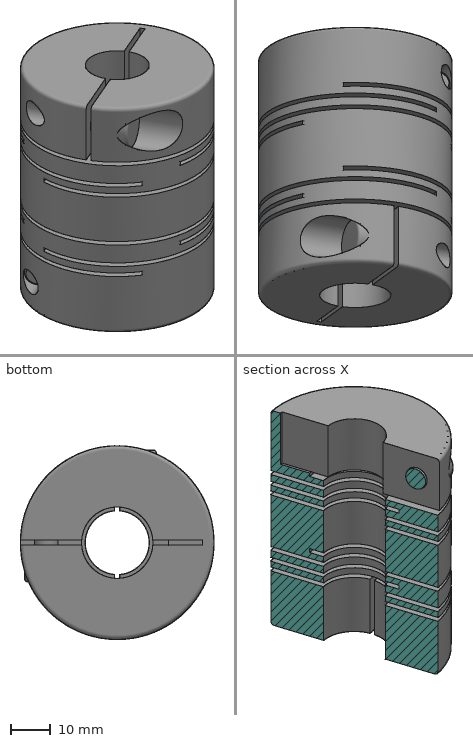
import cadquery as cq

height = 63.5
outer_radius = 24.5
rim_fillet = 1.0

top_bore_radius = 8.05
lower_bore_radius = 9.0

top_hub_height = 15.1
bottom_hub_height = 16.0
slit_width = 1.0
web_in_pair = 1.85
web_between_pairs = 2.15
slit_reach = 13.0

slot_width = 1.3
slot_reach = 21.5

screw_offset = 17.9
screw_depth = 7.4
shank_radius = 3.0
tip_position = 12.45
tip_chamfer = 0.6
head_radius = 5.5
head_end = 9.9
head_length = 6.0
head_edge = 0.75


def make_body():
    """Cylinder with rounded rims and the stepped bore."""
    body = cq.Workplane("XY").circle(outer_radius).extrude(height)
    body = body.edges("%CIRCLE").fillet(rim_fillet)
    narrow_bore = cq.Workplane("XY").circle(top_bore_radius).extrude(height)
    wide_bore = cq.Workplane("XY").circle(lower_bore_radius).extrude(height - top_hub_height)
    return body.cut(narrow_bore).cut(wide_bore)


def make_slit(floor_z, open_angle):
    """Slit open on the side at open_angle about Z (0 is +X) and closed on the opposite side."""
    return (
        cq.Workplane("XY", origin=(-slit_reach, 0, floor_z))
        .box(slit_reach + outer_radius, 2 * outer_radius, slit_width, centered=(False, True, False))
        .rotate((0, 0, 0), (0, 0, 1), open_angle)
    )


def cut_slit_group(body, bottom_z, open_angles):
    """Cut two opposed pairs of slits, working upward from bottom_z."""
    floor_z = bottom_z
    for open_angle, web_above in zip(open_angles, (web_in_pair, web_between_pairs, web_in_pair, 0)):
        body = body.cut(make_slit(floor_z, open_angle))
        floor_z += slit_width + web_above
    return body


def cylinder_along_x(radius, start_x, end_x):
    """Cylinder on the top hub's screw axis."""
    return (
        cq.Workplane("YZ", origin=(start_x, -screw_offset, height - screw_depth))
        .circle(radius)
        .extrude(end_x - start_x)
    )


def make_clamp_cuts(hub_height):
    """Slot, counterbore and tapped hole for the top hub, with the slot open toward -Y."""
    slot = cq.Workplane("XY", origin=(0, -outer_radius, height - hub_height)).box(
        slot_width, outer_radius + slot_reach, hub_height, centered=(True, False, False)
    )
    counterbore = cylinder_along_x(head_radius, head_end - head_edge, outer_radius)
    tapped_hole = cylinder_along_x(shank_radius, -outer_radius, tip_chamfer - tip_position)
    return slot.union(counterbore).union(tapped_hole)


def make_screw():
    """Cap screw of the top hub, its head toward +X."""
    head = cylinder_along_x(head_radius, head_end - head_length, head_end)
    head = head.faces(">X").edges().fillet(head_edge)
    shank = cylinder_along_x(shank_radius, -tip_position, head_end - head_length)
    shank = shank.faces("<X").edges().chamfer(tip_chamfer)
    return head.union(shank)


def move_to_bottom_hub(shape):
    """Half turn about the X = Y line at mid-height, which takes the top -Y side to the bottom -X side."""
    return shape.rotate((0, 0, height / 2), (0.65, 0.65, height / 2), 180)


group_height = 4 * slit_width + 2 * web_in_pair + web_between_pairs

result = make_body()

result = cut_slit_group(result, bottom_hub_height, (180, 0, 90, 270))
result = cut_slit_group(result, height - top_hub_height - group_height, (0, 180, 90, 270))

result = result.cut(make_clamp_cuts(top_hub_height)).union(make_screw())
result = result.cut(move_to_bottom_hub(make_clamp_cuts(bottom_hub_height)))
result = result.union(move_to_bottom_hub(make_screw()))